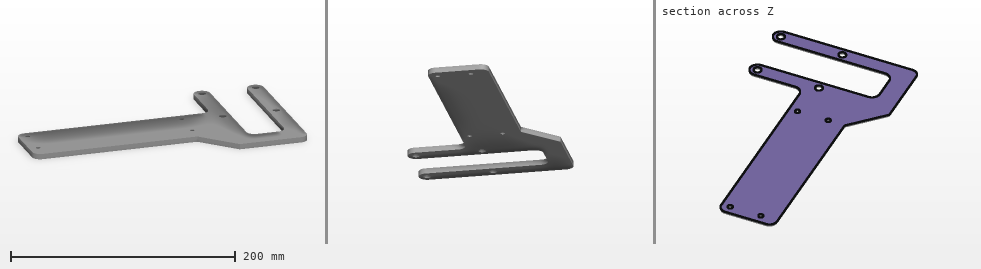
import cadquery as cq

LENGTH_X = 140.0
LENGTH_Y = 247.0
THICKNESS = 5.0

ARM_WIDTH = 15.0
ARM_PITCH = 50.0
ARM_END_RADIUS = ARM_WIDTH / 2
FORK_WEB = 20.0
CORNER_RADIUS = 7.5

STEM_LEFT = 55.0
STEM_WIDTH = 55.0
SHOULDER_DROP = 30.0

ARM_HOLE_DIAMETER = 6.65
ARM_HOLE_SPACING = 60.0
STEM_HOLE_DIAMETER = 4.13
STEM_HOLE_INSET = 8.5
STEM_HOLE_SPACING_X = 30.0
STEM_HOLE_SPACING_Y = 144.0
STEM_HOLE_BOTTOM = STEM_HOLE_INSET

STEM_RIGHT = STEM_LEFT + STEM_WIDTH
SLOT_END = LENGTH_X - FORK_WEB
UPPER_ARM_Y = LENGTH_Y - ARM_END_RADIUS
LOWER_ARM_Y = UPPER_ARM_Y - ARM_PITCH
SLOT_TOP = UPPER_ARM_Y - ARM_END_RADIUS
SLOT_BOTTOM = LOWER_ARM_Y + ARM_END_RADIUS
ARM_UNDERSIDE = LOWER_ARM_Y - ARM_END_RADIUS
SHOULDER_BOTTOM = ARM_UNDERSIDE - SHOULDER_DROP


def make_blank():
    """Forked plate with round arm tips and sharp remaining corners."""
    return (
        cq.Workplane("XY")
        .moveTo(ARM_END_RADIUS, LENGTH_Y)
        .lineTo(LENGTH_X, LENGTH_Y)
        .lineTo(LENGTH_X, ARM_UNDERSIDE)
        .lineTo(STEM_RIGHT, SHOULDER_BOTTOM)
        .lineTo(STEM_RIGHT, 0)
        .lineTo(STEM_LEFT, 0)
        .lineTo(STEM_LEFT, ARM_UNDERSIDE)
        .lineTo(ARM_END_RADIUS, ARM_UNDERSIDE)
        .threePointArc((0, LOWER_ARM_Y), (ARM_END_RADIUS, SLOT_BOTTOM))
        .lineTo(SLOT_END, SLOT_BOTTOM)
        .lineTo(SLOT_END, SLOT_TOP)
        .lineTo(ARM_END_RADIUS, SLOT_TOP)
        .threePointArc((0, UPPER_ARM_Y), (ARM_END_RADIUS, LENGTH_Y))
        .close()
        .extrude(THICKNESS)
    )


def round_corners(plate):
    """Round the outer corners, the slot corners and the arm-to-stem corner."""
    corners = [
        (LENGTH_X, LENGTH_Y),
        (SLOT_END, SLOT_TOP),
        (SLOT_END, SLOT_BOTTOM),
        (STEM_LEFT, ARM_UNDERSIDE),
        (STEM_LEFT, 0),
        (STEM_RIGHT, 0),
    ]
    for x, y in corners:
        nearest_edge = cq.selectors.NearestToPointSelector((x, y, THICKNESS / 2))
        plate = plate.edges("|Z").edges(nearest_edge).fillet(CORNER_RADIUS)
    return plate


def drill_through(plate, centers, diameter):
    """Cut a through hole at every center."""
    drills = cq.Workplane("XY").pushPoints(centers).circle(diameter / 2).extrude(THICKNESS)
    return plate.cut(drills)


def grid(left, bottom, spacing_x, spacing_y):
    """Four hole centers of a two by two pattern."""
    return [(x, y) for x in (left, left + spacing_x) for y in (bottom, bottom + spacing_y)]


arm_holes = grid(ARM_END_RADIUS, LOWER_ARM_Y, ARM_HOLE_SPACING, ARM_PITCH)
stem_holes = grid(
    STEM_LEFT + STEM_HOLE_INSET,
    STEM_HOLE_BOTTOM,
    STEM_HOLE_SPACING_X,
    STEM_HOLE_SPACING_Y,
)

result = round_corners(make_blank())
result = drill_through(result, arm_holes, ARM_HOLE_DIAMETER)
result = drill_through(result, stem_holes, STEM_HOLE_DIAMETER)